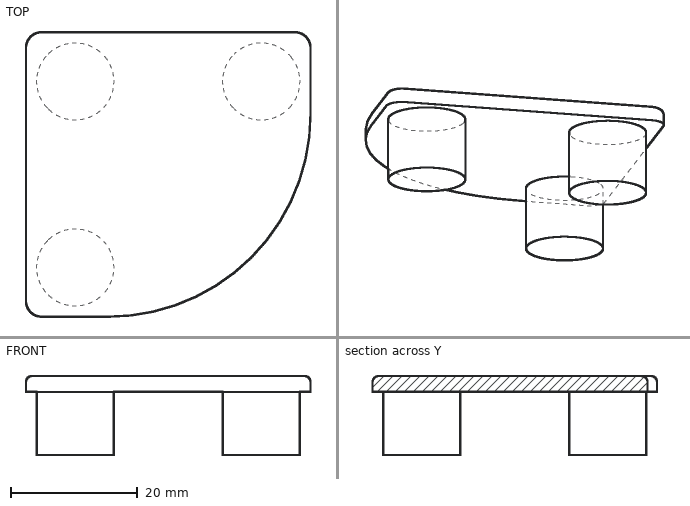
import cadquery as cq

side = 45.0
total_height = 12.5
plate_thickness = 2.5
peg_height = total_height - plate_thickness

corner_radius = 2.5
large_corner_radius = 32.0
top_edge_radius = 1.0

peg_diameter = 12.2
peg_spacing = 29.4


def make_plate():
    """Square plate with one large rounded corner and a rounded top rim."""
    plate = cq.Workplane("XY").box(side, side, plate_thickness, centered=(True, True, False))
    plate = plate.edges("|Z").edges(">(1, -1, 0)").fillet(large_corner_radius)
    for corner in ("<X and <Y", "<X and >Y", ">X and >Y"):
        plate = plate.edges("|Z").edges(corner).fillet(corner_radius)
    return plate.faces(">Z").edges().fillet(top_edge_radius)


def make_pegs():
    """Round pegs under every corner except the large rounded one."""
    offset = peg_spacing / 2
    centres = [(-offset, -offset), (-offset, offset), (offset, offset)]
    return cq.Workplane("XY").pushPoints(centres).circle(peg_diameter / 2).extrude(-peg_height)


result = make_plate().union(make_pegs())